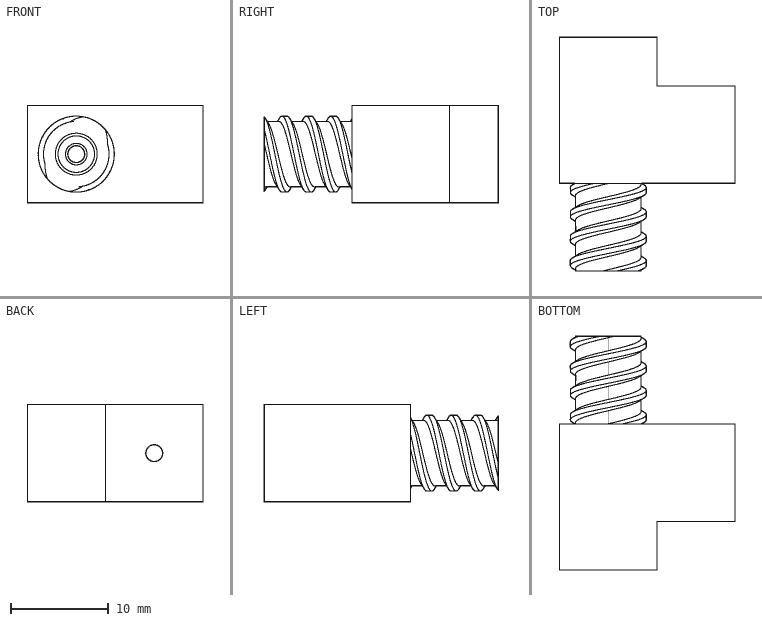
import cadquery as cq

arm_width = 10.0
body_length_x = 18.0
body_length_y = 15.0
body_height = arm_width

socket_length = 9.0
core_radius = 6.72 / 2
crest_radius = 7.8 / 2
axis_x = arm_width / 2

thread_starts = 2
thread_pitch = 2.5
thread_lead = thread_starts * thread_pitch
crest_width = 0.53
root_width = 1.15
thread_sink = 0.07
first_crest_angle = 131.0

mouth_radius = 4.3 / 2
taper_end_radius = 3.75 / 2
passage_radius = 2.2 / 2
passage_end_y = arm_width / 2
outlet_radius = 1.7 / 2


def make_thread_ridge():
    """One right-hand ridge around Z, cut square at Z = 0 and at Z = socket_length."""
    flank_slope = (root_width - crest_width) / 2 / (crest_radius - core_radius)
    half_crest = crest_width / 2
    half_root = root_width / 2 + thread_sink * flank_slope
    buried_radius = core_radius - thread_sink
    profile = [
        (buried_radius, -half_root),
        (crest_radius, -half_crest),
        (crest_radius, half_crest),
        (buried_radius, half_root),
    ]
    overrun = root_width
    helix = cq.Wire.makeHelix(thread_lead, socket_length + 2 * overrun, core_radius)
    ridge = cq.Workplane("XZ").polyline(profile).close().sweep(cq.Workplane(helix), isFrenet=True)
    start_angle = first_crest_angle - 360 * overrun / thread_lead
    ridge = ridge.translate((0, 0, -overrun)).rotate((0, 0, 0), (0, 0, 1), start_angle)
    envelope = cq.Workplane("XY").circle(2 * crest_radius).extrude(socket_length)
    return ridge.intersect(envelope)


def make_body():
    outline = [
        (0, 0),
        (body_length_x, 0),
        (body_length_x, arm_width),
        (arm_width, arm_width),
        (arm_width, body_length_y),
        (0, body_length_y),
    ]
    return cq.Workplane("XY").polyline(outline).close().extrude(body_height / 2, both=True)


def make_socket():
    """Threaded socket built along Z, then laid down to point along -Y from the body face."""
    socket = cq.Workplane("XY").circle(core_radius).extrude(socket_length)
    socket = socket.rotate((0, 0, 0), (0, 0, 1), -90)
    ridge = make_thread_ridge()
    for start in range(thread_starts):
        socket = socket.union(ridge.rotate((0, 0, 0), (0, 0, 1), start * 360 / thread_starts))
    return socket.rotate((0, 0, 0), (1, 0, 0), 90).translate((axis_x, 0, 0))


def make_bore():
    """Revolve the half-profile of the bore about the socket axis."""
    profile = [
        (0, -socket_length),
        (mouth_radius, -socket_length),
        (taper_end_radius, 0),
        (passage_radius, 0),
        (passage_radius, passage_end_y),
        (outlet_radius, passage_end_y),
        (outlet_radius, body_length_y),
        (0, body_length_y),
    ]
    bore = cq.Workplane("XY").polyline(profile).close().revolve(360, (0, 0), (0, 1))
    return bore.translate((axis_x, 0, 0))


result = make_body().union(make_socket()).cut(make_bore())